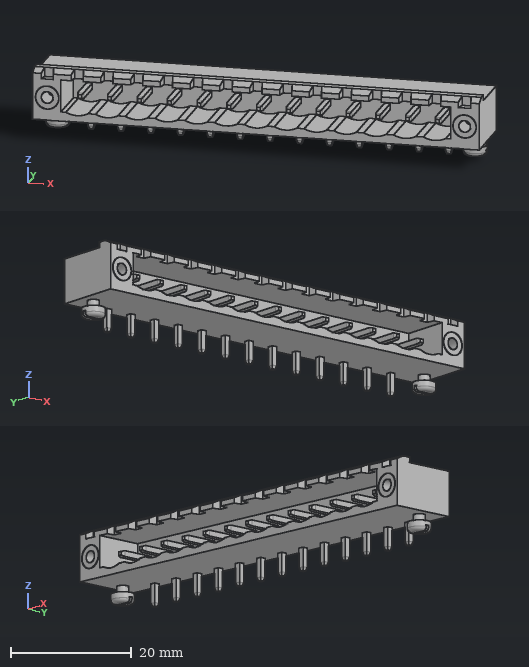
import cadquery as cq

LENGTH = 76.2
DEPTH = 12.0
HEIGHT = 8.7
ROOF_DROP = 0.9
RIM_DEPTH = 2.9
BEVEL_DEPTH = 1.45
BEVEL_DROP = 0.7

PIN_COUNT = 13
PIN_END_INSET = 7.6
PITCH = (LENGTH - 2 * PIN_END_INSET) / (PIN_COUNT - 1)
PIN_XS = [PIN_END_INSET + i * PITCH for i in range(PIN_COUNT)]
PIN_WIDTH = 1.0
PIN_TIP_WIDTH = 0.6
PIN_TIP_LENGTH = 0.6
PIN_Z = 3.9
PIN_SETBACK = 2.0
TAIL_Y = 10.0
TAIL_LENGTH = 3.9

CAVITY_END_WALL = 4.9
CAVITY_DEPTH = 8.6
CEILING_Z = HEIGHT - 1.6
FLOOR_Z = 1.6
SCALLOP_WIDTH = 3.8
SCALLOP_DEPTH = 0.45

SLOT_BACK_WIDTH = 1.5
SLOT_FRONT_WIDTH = 2.05

FLANGE_INSET = 2.5
FLANGE_XS = [FLANGE_INSET, LENGTH - FLANGE_INSET]
BORE_DIAMETER = 2.0
BORE_DEPTH = 4.6
INSERT_DIAMETER = 4.0
INSERT_RECESS = 0.1
SCREW_Y = 7.5
SHANK_DIAMETER = 2.0
SHANK_LENGTH = 1.3
HEAD_DIAMETER = 4.0
HEAD_HEIGHT = 1.7
HEAD_FILLET = 0.7
DRIVE_WIDTH = 0.5
DRIVE_DEPTH = 0.9

OVERLAP = 0.8


def make_housing():
    """Stepped block with a sloped front rim."""
    roof_z = HEIGHT - ROOF_DROP
    return (
        cq.Workplane("YZ")
        .polyline([
            (0, 0),
            (DEPTH, 0),
            (DEPTH, roof_z),
            (RIM_DEPTH, roof_z),
            (RIM_DEPTH, HEIGHT),
            (BEVEL_DEPTH, HEIGHT),
            (0, HEIGHT - BEVEL_DROP),
        ])
        .close()
        .extrude(LENGTH)
    )


def make_cavity():
    """Pocket open to the front, with one shallow arc in the floor under each pin."""
    right = LENGTH - CAVITY_END_WALL
    outline = cq.Workplane("XZ").moveTo(CAVITY_END_WALL, CEILING_Z).lineTo(CAVITY_END_WALL, FLOOR_Z)
    for x in PIN_XS:
        outline = (
            outline
            .lineTo(x - SCALLOP_WIDTH / 2, FLOOR_Z)
            .threePointArc((x, FLOOR_Z - SCALLOP_DEPTH), (x + SCALLOP_WIDTH / 2, FLOOR_Z))
        )
    return outline.lineTo(right, FLOOR_Z).lineTo(right, CEILING_Z).close().extrude(-CAVITY_DEPTH)


def make_coding_slot(x):
    """Tapered notch through the rim down to the cavity ceiling."""
    return (
        cq.Workplane("XY", origin=(x, 0, CEILING_Z))
        .polyline([
            (-SLOT_FRONT_WIDTH / 2, 0),
            (SLOT_FRONT_WIDTH / 2, 0),
            (SLOT_BACK_WIDTH / 2, BEVEL_DEPTH),
            (-SLOT_BACK_WIDTH / 2, BEVEL_DEPTH),
        ])
        .close()
        .extrude(HEIGHT - CEILING_Z)
    )


def make_flange_bore(x):
    """Blind bore with a shallow seat marking the threaded insert."""
    front = cq.Workplane("XZ", origin=(x, 0, PIN_Z))
    bore = front.circle(BORE_DIAMETER / 2).extrude(-BORE_DEPTH)
    seat = front.circle(INSERT_DIAMETER / 2).extrude(-INSERT_RECESS)
    return bore.union(seat)


def make_square_pin(root, length):
    """Square pin growing along the normal of root, ending in a pyramid tip."""
    shaft_length = length - PIN_TIP_LENGTH
    shaft = root.rect(PIN_WIDTH, PIN_WIDTH).extrude(shaft_length)
    tip = (
        root.workplane(offset=shaft_length)
        .rect(PIN_WIDTH, PIN_WIDTH)
        .workplane(offset=PIN_TIP_LENGTH)
        .rect(PIN_TIP_WIDTH, PIN_TIP_WIDTH)
        .loft(ruled=True)
    )
    return shaft.union(tip)


def make_contact(x):
    """Mating pin in the cavity and solder tail under the housing."""
    mating_root = cq.Workplane("XZ", origin=(x, CAVITY_DEPTH + OVERLAP, PIN_Z))
    mating_pin = make_square_pin(mating_root, CAVITY_DEPTH + OVERLAP - PIN_SETBACK)
    tail_root = cq.Workplane("XY", origin=(x, TAIL_Y, OVERLAP)).transformed(rotate=(180, 0, 0))
    return mating_pin.union(make_square_pin(tail_root, TAIL_LENGTH + OVERLAP))


def make_screw(x):
    """Slotted screw with its head hanging below the housing."""
    head_top = -SHANK_LENGTH
    head_bottom = head_top - HEAD_HEIGHT
    head = (
        cq.Workplane("XY", origin=(0, 0, head_bottom))
        .circle(HEAD_DIAMETER / 2)
        .extrude(HEAD_HEIGHT)
        .faces("<Z")
        .edges()
        .fillet(HEAD_FILLET)
    )
    shank = (
        cq.Workplane("XY", origin=(0, 0, head_top))
        .circle(SHANK_DIAMETER / 2)
        .extrude(SHANK_LENGTH + OVERLAP)
    )
    drive = (
        cq.Workplane("XY", origin=(0, 0, head_bottom))
        .rect(HEAD_DIAMETER, DRIVE_WIDTH)
        .extrude(DRIVE_DEPTH)
    )
    return head.cut(drive).union(shank).translate((x, SCREW_Y, 0))


result = make_housing().cut(make_cavity())
for slot_x in FLANGE_XS + PIN_XS:
    result = result.cut(make_coding_slot(slot_x))
for flange_x in FLANGE_XS:
    result = result.cut(make_flange_bore(flange_x))
    result = result.union(make_screw(flange_x))
for pin_x in PIN_XS:
    result = result.union(make_contact(pin_x))